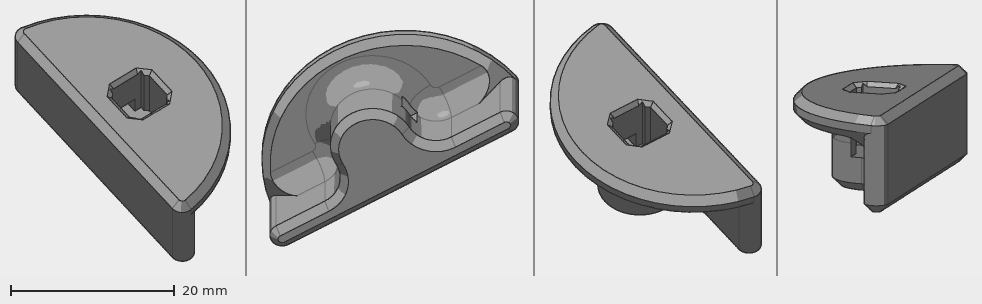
import cadquery as cq
import math

length = 34.65
depth = 16.3
height = 12.0
edge_chamfer = 1.0
flange_thickness = 3.0
wall_thickness = 3.0
corner_radius = wall_thickness / 2

boss_y = 6.8
boss_radius = 5.15
flare_radius = 3.0

socket_width = 5.7
socket_corner = 1.05
socket_chamfer = 0.55
relief_depth_y = 4.75

window_width = 2.85
window_height = 2.4
window_z = 4.25
socket_floor_z = window_z

flange_z = height - flange_thickness

corner_x = length / 2 - corner_radius
corner_to_back = depth - corner_radius
arc_radius = (corner_x**2 + corner_to_back**2 - corner_radius**2) / (2 * (corner_to_back - corner_radius))
arc_center_y = depth - arc_radius

corner_angle = math.atan2(corner_radius - arc_center_y, corner_x)
arc_end_x = arc_radius * math.cos(corner_angle)
arc_end_y = arc_center_y + arc_radius * math.sin(corner_angle)
corner_mid_angle = (corner_angle - math.pi / 2) / 2
corner_mid_x = corner_x + corner_radius * math.cos(corner_mid_angle)
corner_mid_y = corner_radius + corner_radius * math.sin(corner_mid_angle)


def make_flange_envelope():
    """D-shaped block, chamfered on top and tapering inwards below its rim at 45 degrees."""
    block = (
        cq.Workplane("XY")
        .moveTo(-corner_x, 0)
        .lineTo(corner_x, 0)
        .threePointArc((corner_mid_x, corner_mid_y), (arc_end_x, arc_end_y))
        .threePointArc((0, depth), (-arc_end_x, arc_end_y))
        .threePointArc((-corner_mid_x, corner_mid_y), (-corner_x, 0))
        .close()
        .extrude(height)
        .faces(">Z")
        .chamfer(edge_chamfer)
    )
    rim_z = flange_z + edge_chamfer
    taper = (
        cq.Workplane("XZ", origin=(0, arc_center_y, 0))
        .lineTo(arc_radius - rim_z, 0)
        .lineTo(arc_radius, rim_z)
        .lineTo(arc_radius, height)
        .lineTo(0, height)
        .close()
        .revolve(360, (0, 0), (0, 1))
    )
    return block.intersect(taper)


def make_foot(wall_length, bottom_z):
    """Front wall with the boss, joined by concave blends that start beside the boss axis."""
    blend_radius = boss_y - wall_thickness
    blend_end_x = boss_radius + blend_radius
    blend_mid_x = blend_end_x - blend_radius * math.sqrt(0.5)
    blend_mid_y = boss_y - blend_radius * math.sqrt(0.5)
    half_wall = wall_length / 2
    end_x = half_wall - corner_radius
    return (
        cq.Workplane("XY", origin=(0, 0, bottom_z))
        .moveTo(-end_x, 0)
        .lineTo(end_x, 0)
        .threePointArc((half_wall, corner_radius), (end_x, wall_thickness))
        .lineTo(blend_end_x, wall_thickness)
        .threePointArc((blend_mid_x, blend_mid_y), (boss_radius, boss_y))
        .threePointArc((0, boss_y + boss_radius), (-boss_radius, boss_y))
        .threePointArc((-blend_mid_x, blend_mid_y), (-blend_end_x, wall_thickness))
        .lineTo(-end_x, wall_thickness)
        .threePointArc((-half_wall, corner_radius), (-end_x, 0))
        .close()
        .extrude(flange_z - bottom_z)
    )


def make_flared_flange():
    """Oversized foot and slab with a filleted root, trimmed to the flange envelope."""
    slab_size = 4 * length
    long_wall = 1.5 * length
    root_margin = 0.35
    slab = (
        cq.Workplane("XY", origin=(0, 0, flange_z))
        .rect(slab_size, slab_size)
        .extrude(flange_thickness)
    )
    root = cq.selectors.BoxSelector(
        (-length, -root_margin, flange_z - root_margin),
        (length, depth, flange_z + root_margin),
    )
    long_foot = make_foot(long_wall, flange_z - flare_radius - root_margin)
    flared = slab.union(long_foot).edges(root).fillet(flare_radius)
    return flared.intersect(make_flange_envelope())


def make_wall_top():
    """Rounded wall carried up to the chamfered rim of the flange."""
    return (
        cq.Workplane("XY", origin=(0, corner_radius, flange_z))
        .slot2D(length, wall_thickness)
        .extrude(edge_chamfer)
    )


def octagon(width, corner, z):
    """Square with cut corners, centred on the boss axis at height z."""
    half = width / 2
    flat = half - corner
    points = [
        (flat, half), (half, flat), (half, -flat), (flat, -half),
        (-flat, -half), (-half, -flat), (-half, flat), (-flat, half),
    ]
    return cq.Workplane("XY", origin=(0, boss_y, z)).polyline(points).close()


def make_socket():
    socket_depth = height - socket_floor_z
    main = octagon(socket_width, socket_corner, socket_floor_z).extrude(socket_depth)
    relief = (
        cq.Workplane("XY", origin=(0, boss_y, socket_floor_z))
        .rect(socket_width, relief_depth_y)
        .extrude(socket_depth)
    )
    mouth_width = socket_width + 2 * socket_chamfer
    mouth_corner = socket_corner + socket_chamfer * (2 - math.sqrt(2))
    mouth = octagon(mouth_width, mouth_corner, height).extrude(-socket_chamfer, taper=45)
    return main.union(relief).union(mouth)


def make_window():
    return (
        cq.Workplane("XY", origin=(0, boss_y, window_z))
        .box(length, window_width, window_height, centered=(True, True, False))
    )


foot = make_foot(length, 0).faces("<Z").chamfer(edge_chamfer)
body = make_flared_flange().union(foot).union(make_wall_top())
result = body.cut(make_socket()).cut(make_window())